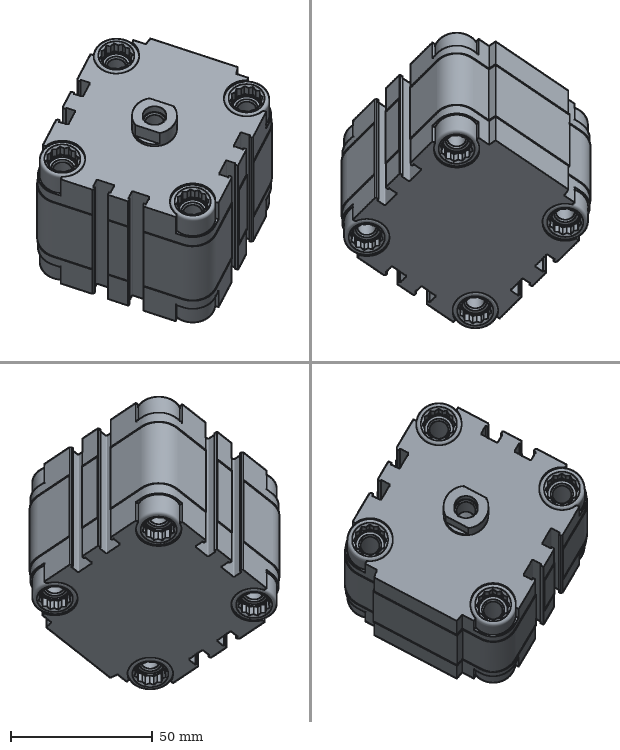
import cadquery as cq
import math


TOTAL_HEIGHT = 68.0
HOUSING_HEIGHT = 60.55
CAP_HEIGHT = 14.5
BARREL_WIDTH = 68.0
CAP_INSET = 0.3

RIDGE_HEIGHT = 3.0
RIDGE_TOP_HALF_WIDTH = 17.05
RIDGE_FOOT_HALF_WIDTH = 17.6

SLOT_DEPTH = 5.1
LIP_DEPTH = 1.55
SLOT_NEAR = 3.4
SLOT_FAR = 10.15
LIP_NEAR = 4.0
LIP_FAR = 9.4
LIP_CHAMFER = 0.5
NEAR_CHAMFER = 0.2
SLOT_CORNER_RADIUS = 0.35

BOLT_OFFSET = 25.0
HEAD_DIAMETER = 16.2
HEAD_HEIGHT = 9.5
HEAD_FILLET = 1.1
SEAT_OVERLAP = 2.9
SOCKET_ACROSS_FLATS = 10.0
SOCKET_SPLINE_DEPTH = 4.75
SOCKET_MOUTH_DIAMETER = 12.8
SOCKET_MOUTH_SLOPE = math.radians(30)
SOCKET_FLOOR_DIAMETER = 10.2
SOCKET_DEPTH = 5.7
BOLT_HOLE_DIAMETER = 6.7
HOLE_MOUTH_DIAMETER = 7.95

ROD_DIAMETER = 16.0
ROD_ACROSS_FLATS = 13.0
FLAT_START = 1.2
ROD_INSERTION = 17.75
RECESS_DIAMETER = 8.4
RECESS_DEPTH = 3.3
COUNTERSINK_DIAMETER = 7.95
THREAD_DIAMETER = 6.7
THREAD_HOLE_DEPTH = 14.2
DRILL_POINT_ANGLE = 118

CORNER_RADIUS = BARREL_WIDTH / 2 - BOLT_OFFSET
CUT_MARGIN = 3.55


def profile_block(inset, bottom, height):
    """Rounded square with the ridge on +Y, reduced by inset all round."""
    half_width = BARREL_WIDTH / 2 - inset
    square = (
        cq.Workplane("XY", origin=(0, 0, bottom))
        .rect(2 * half_width, 2 * half_width)
        .extrude(height)
        .edges("|Z").fillet(CORNER_RADIUS - inset)
    )
    foot = RIDGE_FOOT_HALF_WIDTH - inset
    top = RIDGE_TOP_HALF_WIDTH - inset
    ridge_top = half_width + RIDGE_HEIGHT
    ridge = (
        cq.Workplane("XY", origin=(0, 0, bottom))
        .polyline([(-foot, 0), (foot, 0), (foot, half_width), (top, ridge_top),
                   (-top, ridge_top), (-foot, half_width)])
        .close()
        .extrude(height)
    )
    return square.union(ridge)


def slot_cutter():
    """T-slot of the -Y side, on the +X half of that face."""
    face = -BARREL_WIDTH / 2
    floor = face + SLOT_DEPTH
    lip = face + LIP_DEPTH
    outside = face - CUT_MARGIN
    cap_face = face + CAP_INSET
    return (
        cq.Workplane("XY")
        .moveTo(LIP_NEAR - NEAR_CHAMFER, outside)
        .lineTo(LIP_NEAR - NEAR_CHAMFER, cap_face)
        .lineTo(LIP_NEAR, cap_face + NEAR_CHAMFER)
        .lineTo(LIP_NEAR, lip)
        .lineTo(SLOT_NEAR, lip)
        .lineTo(SLOT_NEAR, floor - SLOT_CORNER_RADIUS)
        .radiusArc((SLOT_NEAR + SLOT_CORNER_RADIUS, floor), SLOT_CORNER_RADIUS)
        .lineTo(SLOT_FAR - SLOT_CORNER_RADIUS, floor)
        .radiusArc((SLOT_FAR, floor - SLOT_CORNER_RADIUS), SLOT_CORNER_RADIUS)
        .lineTo(SLOT_FAR, lip)
        .lineTo(LIP_FAR, lip)
        .lineTo(LIP_FAR, cap_face + LIP_CHAMFER)
        .lineTo(LIP_FAR + LIP_CHAMFER, cap_face)
        .lineTo(LIP_FAR + LIP_CHAMFER, outside)
        .close()
        .extrude(HOUSING_HEIGHT)
    )


def head_seat():
    """Space for a bolt head in the top of the cap, open toward the outside corner."""
    seat_floor = HOUSING_HEIGHT - HEAD_HEIGHT
    bore = (
        cq.Workplane("XY", origin=(BOLT_OFFSET, BOLT_OFFSET, seat_floor))
        .circle(HEAD_DIAMETER / 2)
        .extrude(HEAD_HEIGHT)
    )
    open_start = BOLT_OFFSET - SEAT_OVERLAP
    open_size = BARREL_WIDTH / 2 + CUT_MARGIN - open_start
    corner = cq.Workplane("XY").box(open_size, open_size, HEAD_HEIGHT, centered=False)
    return bore.union(corner.translate((open_start, open_start, seat_floor)))


def bolt_head():
    """Round head filling the bore of its seat, with a rounded top edge."""
    return (
        cq.Workplane("XY", origin=(BOLT_OFFSET, BOLT_OFFSET, HOUSING_HEIGHT - HEAD_HEIGHT))
        .circle(HEAD_DIAMETER / 2)
        .extrude(HEAD_HEIGHT)
        .faces(">Z").edges().fillet(HEAD_FILLET)
    )


def bolt_socket():
    """Twelve-point socket with a conical mouth, a round floor and a countersunk hole."""
    hexagon_diameter = SOCKET_ACROSS_FLATS / math.cos(math.pi / 6)
    hexagon = (
        cq.Workplane("XY")
        .polygon(6, hexagon_diameter)
        .extrude(-SOCKET_SPLINE_DEPTH)
    )
    splines = hexagon.union(hexagon.rotate((0, 0, 0), (0, 0, 1), 30))
    mouth_radius = SOCKET_MOUTH_DIAMETER / 2
    floor_radius = SOCKET_FLOOR_DIAMETER / 2
    hole_mouth_radius = HOLE_MOUTH_DIAMETER / 2
    hole_radius = BOLT_HOLE_DIAMETER / 2
    mouth_depth = (mouth_radius - floor_radius) * math.tan(SOCKET_MOUTH_SLOPE)
    countersink_depth = hole_mouth_radius - hole_radius
    round_cut = (
        cq.Workplane("XZ")
        .polyline([
            (0, 0),
            (mouth_radius, 0),
            (floor_radius, -mouth_depth),
            (floor_radius, -SOCKET_DEPTH),
            (hole_mouth_radius, -SOCKET_DEPTH),
            (hole_radius, -SOCKET_DEPTH - countersink_depth),
            (hole_radius, -HOUSING_HEIGHT / 2),
            (0, -HOUSING_HEIGHT / 2),
        ])
        .close()
        .revolve(360, (0, 0, 0), (0, 1, 0))
    )
    return round_cut.union(splines).translate((BOLT_OFFSET, BOLT_OFFSET, HOUSING_HEIGHT))


def at_all_corners(shape):
    """Copies of a top corner feature at the four top and the four bottom corners."""
    mirrored = shape.mirror("XY", (0, 0, HOUSING_HEIGHT / 2))
    copies = []
    for end_shape in (shape, mirrored):
        for quarter in range(4):
            copies.append(end_shape.rotate((0, 0, 0), (0, 0, 1), 90 * quarter))
    return copies


def make_housing():
    """Barrel, both end caps and the bolt heads as one solid."""
    housing = profile_block(CAP_INSET, 0, HOUSING_HEIGHT)
    housing = housing.union(profile_block(0, CAP_HEIGHT, HOUSING_HEIGHT - 2 * CAP_HEIGHT))

    slot = slot_cutter()
    slot_pair = [slot, slot.mirror("YZ")]
    for face_angle in (-90, 0, 90):
        for cutter in slot_pair:
            housing = housing.cut(cutter.rotate((0, 0, 0), (0, 0, 1), face_angle))

    for seat in at_all_corners(head_seat()):
        housing = housing.cut(seat)
    for head in at_all_corners(bolt_head()):
        housing = housing.union(head)
    for socket in at_all_corners(bolt_socket()):
        housing = housing.cut(socket)

    rod_bore = (
        cq.Workplane("XY", origin=(0, 0, HOUSING_HEIGHT - ROD_INSERTION))
        .circle(ROD_DIAMETER / 2)
        .extrude(ROD_INSERTION)
    )
    return housing.cut(rod_bore)


def rod_hole():
    """Recessed and countersunk blind thread hole in the rod end."""
    recess_radius = RECESS_DIAMETER / 2
    countersink_radius = COUNTERSINK_DIAMETER / 2
    thread_radius = THREAD_DIAMETER / 2
    countersink_depth = countersink_radius - thread_radius
    point_length = thread_radius / math.tan(math.radians(DRILL_POINT_ANGLE / 2))
    return (
        cq.Workplane("XZ", origin=(0, 0, TOTAL_HEIGHT))
        .polyline([
            (0, 0),
            (recess_radius, 0),
            (recess_radius, -RECESS_DEPTH),
            (countersink_radius, -RECESS_DEPTH),
            (thread_radius, -RECESS_DEPTH - countersink_depth),
            (thread_radius, -THREAD_HOLE_DEPTH),
            (0, -THREAD_HOLE_DEPTH - point_length),
        ])
        .close()
        .revolve(360, (0, 0, 0), (0, 1, 0))
    )


def make_rod():
    """Piston rod with two wrench flats and a threaded hole in its end."""
    bottom = HOUSING_HEIGHT - ROD_INSERTION
    rod = (
        cq.Workplane("XY", origin=(0, 0, bottom))
        .circle(ROD_DIAMETER / 2)
        .extrude(TOTAL_HEIGHT - bottom)
    )
    flat_bottom = HOUSING_HEIGHT + FLAT_START
    flat_center = (ROD_ACROSS_FLATS + ROD_DIAMETER) / 2
    flat_cutters = (
        cq.Workplane("XY", origin=(0, 0, flat_bottom))
        .pushPoints([(0, flat_center), (0, -flat_center)])
        .rect(2 * ROD_DIAMETER, ROD_DIAMETER)
        .extrude(TOTAL_HEIGHT - flat_bottom)
    )
    return rod.cut(flat_cutters).cut(rod_hole())


housing = make_housing()
rod = make_rod()
result = cq.Compound.makeCompound([housing.val(), rod.val()])